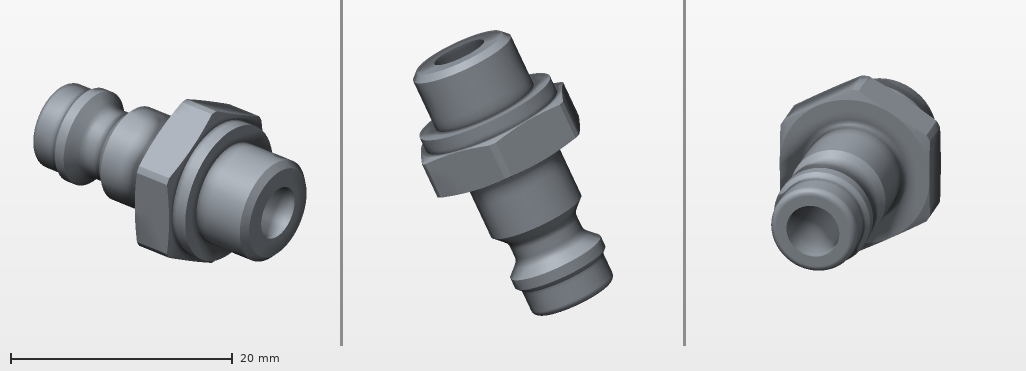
import cadquery as cq
import math

TOTAL_LENGTH = 25.0
COLLAR_START = 2.65
GROOVE_START = 4.1
GROOVE_END = 8.3
HEX_START = 14.1
HEX_END = 18.0
RING_END = 19.45

BORE_DIAMETER = 4.95
NECK_DIAMETER = 6.65
NOSE_DIAMETER = 8.1
SHANK_DIAMETER = 9.0
THREAD_DIAMETER = 9.72
RING_DIAMETER = 13.0

HEX_ACROSS_FLATS = 14.0
HEX_CORNER_DIAMETER = 15.8
HEX_CHAMFER_ANGLE = math.radians(15)

NOSE_ROUND = 0.6
NECK_FILLET = 1.0
SHANK_FILLET = 0.52
THREAD_CHAMFER = 0.6


def along_x(diameter, start, end):
    """Solid cylinder on the X axis between two stations."""
    return cq.Workplane("YZ", origin=(start, 0, 0)).circle(diameter / 2).extrude(end - start)


def make_plug():
    """Revolved plug: rounded nose, 45 degree collar step, groove and shank filleted into the hexagon."""
    nose_radius = NOSE_DIAMETER / 2
    neck_radius = NECK_DIAMETER / 2
    shank_radius = SHANK_DIAMETER / 2
    collar_rise = shank_radius - nose_radius

    diagonal = math.sqrt(0.5)
    fillet_run = NECK_FILLET * diagonal
    fillet_rise = NECK_FILLET * (1 - diagonal)
    half_run = NECK_FILLET * math.sin(math.pi / 8)
    half_rise = NECK_FILLET * (1 - math.cos(math.pi / 8))
    cone_foot_radius = neck_radius + fillet_rise
    cone_run = shank_radius - cone_foot_radius
    neck_start = GROOVE_START + cone_run + fillet_run
    neck_end = GROOVE_END - cone_run - fillet_run

    nose_bend = NOSE_ROUND * (1 - diagonal)
    shank_bend = SHANK_FILLET * (1 - diagonal)

    profile = (
        cq.Workplane("XY")
        .lineTo(0, nose_radius - NOSE_ROUND)
        .threePointArc((nose_bend, nose_radius - nose_bend), (NOSE_ROUND, nose_radius))
        .lineTo(COLLAR_START, nose_radius)
        .lineTo(COLLAR_START + collar_rise, shank_radius)
        .lineTo(GROOVE_START, shank_radius)
        .lineTo(GROOVE_START + cone_run, cone_foot_radius)
        .threePointArc((neck_start - half_run, neck_radius + half_rise), (neck_start, neck_radius))
        .lineTo(neck_end, neck_radius)
        .threePointArc(
            (neck_end + half_run, neck_radius + half_rise),
            (GROOVE_END - cone_run, cone_foot_radius),
        )
        .lineTo(GROOVE_END, shank_radius)
        .lineTo(HEX_START - SHANK_FILLET, shank_radius)
        .threePointArc(
            (HEX_START - shank_bend, shank_radius + shank_bend),
            (HEX_START, shank_radius + SHANK_FILLET),
        )
        .lineTo(HEX_START, 0)
        .close()
    )
    return profile.revolve(360, (0, 0, 0), (1, 0, 0))


def make_hexagon():
    """Hexagon with corners up and down, turned to a corner diameter and chamfered on both faces."""
    flat_radius = HEX_ACROSS_FLATS / 2
    corner_radius = HEX_CORNER_DIAMETER / 2
    chamfer_run = (corner_radius - flat_radius) * math.tan(HEX_CHAMFER_ANGLE)
    prism = (
        cq.Workplane("YZ", origin=(HEX_START, 0, 0))
        .polygon(6, HEX_ACROSS_FLATS, circumscribed=True)
        .extrude(HEX_END - HEX_START)
    )
    turned_blank = (
        cq.Workplane("XY")
        .polyline([
            (HEX_START, 0),
            (HEX_START, flat_radius),
            (HEX_START + chamfer_run, corner_radius),
            (HEX_END - chamfer_run, corner_radius),
            (HEX_END, flat_radius),
            (HEX_END, 0),
        ])
        .close()
        .revolve(360, (0, 0, 0), (1, 0, 0))
    )
    return prism.intersect(turned_blank)


def make_nipple():
    """Plug, hexagon and threaded end as one body with a through bore."""
    threaded_end = along_x(THREAD_DIAMETER, HEX_END, TOTAL_LENGTH).faces(">X").chamfer(THREAD_CHAMFER)
    bore = along_x(BORE_DIAMETER, 0, TOTAL_LENGTH)
    return make_plug().union(make_hexagon()).union(threaded_end).cut(bore)


def make_seal_ring():
    """Flat ring around the threaded end, seated against the hexagon."""
    return along_x(RING_DIAMETER, HEX_END, RING_END).cut(along_x(THREAD_DIAMETER, HEX_END, RING_END))


nipple = make_nipple()
seal_ring = make_seal_ring()

result = cq.Compound.makeCompound([nipple.val(), seal_ring.val()])